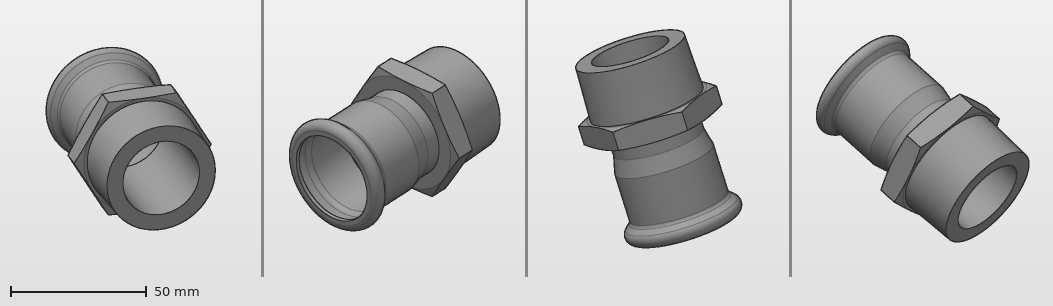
import cadquery as cq
import math

total_length = 70.0
tube_radius = 38.0 / 2
socket_radius = 34.8 / 2
wall = tube_radius - socket_radius
neck_radius = 34.8 / 2
bore_radius = 14.85

bead_radius = 3.1
bead_crest_radius = 22.5
bead_center_radius = bead_crest_radius - bead_radius
bead_blend_radius = 1.95
bead_end = 8.55
flank_angle = math.radians(45)

taper_start = 27.1
taper_end = 33.95
hex_start = 40.05
hex_end = 49.0
socket_depth = taper_start

across_flats = 46.0
across_corners = across_flats / math.cos(math.radians(30))
corner_bevel = 0.85
male_root_radius = 21.8
male_tip_radius = 21.0


def polar(center, radius, angle):
    """Point at an angle from +X on a circle in the axial section."""
    return (center[0] + radius * math.cos(angle), center[1] + radius * math.sin(angle))


def add_bead_flank(section, bead_r, blend_r, end_radius):
    """Run over the bead, down its 45 degree flank and blend into the tube."""
    bead_center = (bead_radius, bead_center_radius)
    blend_center = (bead_end, end_radius + blend_r)
    slope = math.pi / 2 - flank_angle
    blend_start = math.pi + slope
    blend_stop = 1.5 * math.pi
    return (
        section
        .threePointArc(
            polar(bead_center, bead_r, (math.pi + slope) / 2),
            polar(bead_center, bead_r, slope),
        )
        .lineTo(*polar(blend_center, blend_r, blend_start))
        .threePointArc(
            polar(blend_center, blend_r, (blend_start + blend_stop) / 2),
            (bead_end, end_radius),
        )
    )


def revolve_about_x(section):
    return section.close().revolve(360, (0, 0, 0), (1, 0, 0))


def outer_body():
    section = cq.Workplane("XY").lineTo(0, bead_center_radius)
    section = add_bead_flank(section, bead_radius, bead_blend_radius, tube_radius)
    section = (
        section
        .lineTo(taper_start, tube_radius)
        .lineTo(taper_end, neck_radius)
        .lineTo(hex_start, neck_radius)
        .lineTo(hex_start, male_root_radius)
        .lineTo(hex_end, male_root_radius)
        .lineTo(total_length, male_tip_radius)
        .lineTo(total_length, 0)
    )
    return revolve_about_x(section)


def hexagon():
    """Hexagon with flats facing up and down and both ends of its corners bevelled."""
    prism = (
        cq.Workplane("YZ", origin=(hex_start, 0, 0))
        .polygon(6, across_corners)
        .extrude(hex_end - hex_start)
    )
    flat_radius = across_flats / 2
    corner_radius = across_corners / 2
    bevel_envelope = revolve_about_x(
        cq.Workplane("XY")
        .moveTo(hex_start, 0)
        .lineTo(hex_start, flat_radius)
        .lineTo(hex_start + corner_bevel, corner_radius)
        .lineTo(hex_end - corner_bevel, corner_radius)
        .lineTo(hex_end, flat_radius)
        .lineTo(hex_end, 0)
    )
    return prism.intersect(bevel_envelope)


def inner_cavity():
    """Mouth, seal groove inside the bead, socket with its stop, and through bore."""
    groove_radius = bead_radius - wall
    section = (
        cq.Workplane("XY")
        .lineTo(0, socket_radius)
        .lineTo(wall, socket_radius)
        .lineTo(wall, bead_center_radius)
    )
    section = add_bead_flank(section, groove_radius, bead_blend_radius + wall, socket_radius)
    section = (
        section
        .lineTo(socket_depth, socket_radius)
        .lineTo(socket_depth, bore_radius)
        .lineTo(total_length, bore_radius)
        .lineTo(total_length, 0)
    )
    return revolve_about_x(section)


result = outer_body().union(hexagon()).cut(inner_cavity())